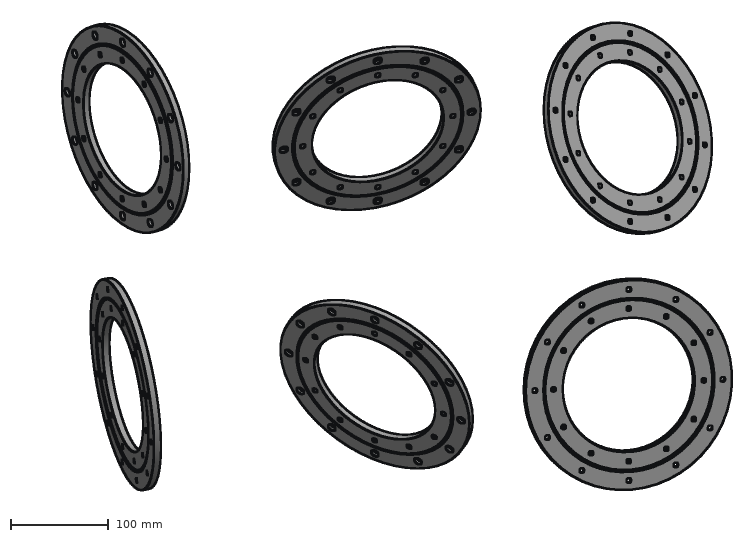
import cadquery as cq

HOLE_COUNT = 12
EDGE_CHAMFER = 0.5

TOTAL_DEPTH = 8.5
INNER_PROTRUSION = 0.55
INNER_FRONT_Y = -TOTAL_DEPTH / 2
OUTER_FRONT_Y = INNER_FRONT_Y + INNER_PROTRUSION
RING_DEPTH = TOTAL_DEPTH - INNER_PROTRUSION

OUTER_RING_OD = 220.0
OUTER_RING_ID = 181.5
OUTER_BOLT_CIRCLE = 200.0
OUTER_HOLE_DIAMETER = 5.0
COUNTERBORE_DIAMETER = 8.0
COUNTERBORE_DEPTH = 4.5

INNER_RING_OD = 178.5
INNER_RING_ID = 140.0
INNER_BOLT_CIRCLE = 160.0
INNER_HOLE_DIAMETER = 4.8

MOUTH_CHAMFER = 0.5


def front_plane(front_y):
    """Sketch plane on a ring's front face, with its normal along -Y."""
    return cq.Workplane("XZ", origin=(0, front_y, 0))


def chamfered_ring(outer_diameter, inner_diameter, front_y):
    """Flat ring running back from its front face, with all four rims chamfered."""
    return (
        front_plane(front_y)
        .circle(outer_diameter / 2)
        .circle(inner_diameter / 2)
        .extrude(-RING_DEPTH)
        .faces("|Y")
        .edges()
        .chamfer(EDGE_CHAMFER)
    )


def hole_cutter(diameter, depth, front_y):
    """Cylinder sunk from the front face, with a chamfered mouth."""
    mouth_radius = diameter / 2 + MOUTH_CHAMFER
    cylinder = front_plane(front_y).circle(diameter / 2).extrude(-depth)
    mouth = cq.Solid.makeCone(
        mouth_radius,
        diameter / 2,
        MOUTH_CHAMFER,
        pnt=cq.Vector(0, front_y, 0),
        dir=cq.Vector(0, 1, 0),
    )
    return cylinder.union(cq.Workplane(mouth))


def cut_bolt_circle(ring, cutter, bolt_circle):
    """Cut the same hole at equal steps around the ring, starting on the X axis."""
    for index in range(HOLE_COUNT):
        angle = index * 360 / HOLE_COUNT
        placed = cutter.translate((bolt_circle / 2, 0, 0)).rotate((0, 0, 0), (0, 1, 0), angle)
        ring = ring.cut(placed)
    return ring


def make_outer_ring():
    ring = chamfered_ring(OUTER_RING_OD, OUTER_RING_ID, OUTER_FRONT_Y)
    through_hole = front_plane(OUTER_FRONT_Y).circle(OUTER_HOLE_DIAMETER / 2).extrude(-RING_DEPTH)
    counterbore = hole_cutter(COUNTERBORE_DIAMETER, COUNTERBORE_DEPTH, OUTER_FRONT_Y)
    return cut_bolt_circle(ring, counterbore.union(through_hole), OUTER_BOLT_CIRCLE)


def make_inner_ring():
    ring = chamfered_ring(INNER_RING_OD, INNER_RING_ID, INNER_FRONT_Y)
    through_hole = hole_cutter(INNER_HOLE_DIAMETER, RING_DEPTH, INNER_FRONT_Y)
    return cut_bolt_circle(ring, through_hole, INNER_BOLT_CIRCLE)


outer_ring = make_outer_ring()
inner_ring = make_inner_ring()

result = cq.Compound.makeCompound([outer_ring.val(), inner_ring.val()])